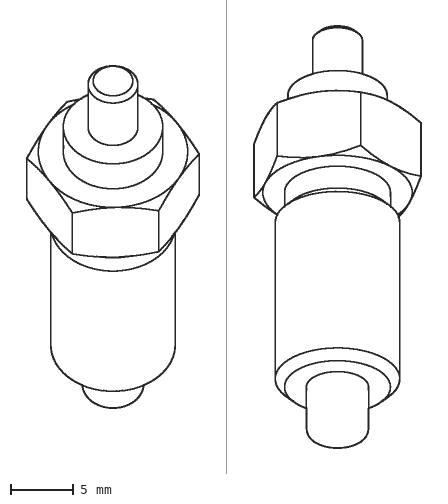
import cadquery as cq
import math

TOTAL_HEIGHT = 37.48
SLEEVE_BOTTOM_Z = 5.0
SLEEVE_TOP_Z = 20.95
HEX_BOTTOM_Z = 22.98
HEX_HEIGHT = 6.0
COLLAR_HEIGHT = 3.0
HEX_TOP_Z = HEX_BOTTOM_Z + HEX_HEIGHT
COLLAR_TOP_Z = HEX_TOP_Z + COLLAR_HEIGHT

SLEEVE_DIAMETER = 10.0
SLEEVE_CHAMFER = 0.75
NECK_DIAMETER = 8.5
COLLAR_DIAMETER = 8.0
HEX_ACROSS_FLATS = 12.0
HEX_CORNER_ANGLE = 30.0
BEVEL_OVERRUN = 0.37

TIP_DIAMETER = 5.0
STEM_DIAMETER = 4.0
STEM_CHAMFER = 0.4
STEP_Z = HEX_BOTTOM_Z
DOME_RADIUS = 4.35
TIP_FILLET = 0.67


def cylinder(diameter, bottom_z, top_z):
    """Upright cylinder on the Z axis."""
    return cq.Workplane("XY").workplane(offset=bottom_z).circle(diameter / 2).extrude(top_z - bottom_z)


def make_hexagon():
    """Hexagon whose corners are bevelled by a cone at both ends."""
    across_corners = HEX_ACROSS_FLATS / math.cos(math.radians(30))
    prism = (
        cq.Workplane("XY")
        .workplane(offset=HEX_BOTTOM_Z)
        .polygon(6, across_corners)
        .extrude(HEX_HEIGHT)
    )
    face_radius = HEX_ACROSS_FLATS / 2
    outer_radius = across_corners / 2 + BEVEL_OVERRUN
    bevel_drop = (outer_radius - face_radius) * math.tan(math.radians(HEX_CORNER_ANGLE))
    envelope = (
        cq.Workplane("XZ")
        .moveTo(0, HEX_BOTTOM_Z)
        .lineTo(face_radius, HEX_BOTTOM_Z)
        .lineTo(outer_radius, HEX_BOTTOM_Z + bevel_drop)
        .lineTo(outer_radius, HEX_TOP_Z - bevel_drop)
        .lineTo(face_radius, HEX_TOP_Z)
        .lineTo(0, HEX_TOP_Z)
        .close()
        .revolve(360, (0, 0, 0), (0, 1, 0))
    )
    return prism.intersect(envelope)


def make_plunger_bore():
    """Stepped bore that fits the plunger through the whole housing."""
    tip_bore = cylinder(TIP_DIAMETER, SLEEVE_BOTTOM_Z, STEP_Z)
    stem_bore = cylinder(STEM_DIAMETER, STEP_Z, COLLAR_TOP_Z)
    return tip_bore.union(stem_bore)


def make_housing():
    """Sleeve, neck, hexagon and collar in one piece, bored for the plunger."""
    sleeve = cylinder(SLEEVE_DIAMETER, SLEEVE_BOTTOM_Z, SLEEVE_TOP_Z).edges("%CIRCLE").chamfer(SLEEVE_CHAMFER)
    neck = cylinder(NECK_DIAMETER, SLEEVE_TOP_Z, HEX_BOTTOM_Z)
    collar = cylinder(COLLAR_DIAMETER, HEX_TOP_Z, COLLAR_TOP_Z)
    return sleeve.union(neck).union(make_hexagon()).union(collar).cut(make_plunger_bore())


def make_plunger():
    """Tip with a filleted spherical end, and a stem with a chamfered top."""
    tip_radius = TIP_DIAMETER / 2
    dome_edge_z = DOME_RADIUS - math.sqrt(DOME_RADIUS**2 - tip_radius**2)
    half_angle = math.asin(tip_radius / DOME_RADIUS) / 2
    dome_middle = (DOME_RADIUS * math.sin(half_angle), DOME_RADIUS * (1 - math.cos(half_angle)))
    tip = (
        cq.Workplane("XZ")
        .moveTo(0, 0)
        .threePointArc(dome_middle, (tip_radius, dome_edge_z))
        .lineTo(tip_radius, STEP_Z)
        .lineTo(0, STEP_Z)
        .close()
        .revolve(360, (0, 0, 0), (0, 1, 0))
        .faces("%CYLINDER")
        .edges("<Z")
        .fillet(TIP_FILLET)
    )
    stem = cylinder(STEM_DIAMETER, STEP_Z, TOTAL_HEIGHT).faces(">Z").chamfer(STEM_CHAMFER)
    return tip.union(stem)


housing = make_housing()
plunger = make_plunger()
result = cq.Compound.makeCompound([housing.solids().val(), plunger.solids().val()])